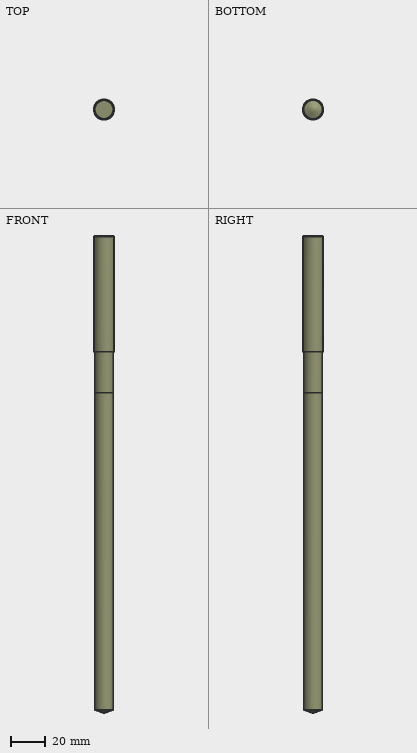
import cadquery as cq
import math

overall_length = 280.0
shank_diameter = 12.0
shank_length = 68.0
shank_chamfer = 0.6
neck_length = 24.0
drill_diameter = 11.1
point_angle = 140.0

drill_radius = drill_diameter / 2
point_height = drill_radius / math.tan(math.radians(point_angle / 2))
shank_bottom = overall_length - shank_length
neck_bottom = shank_bottom - neck_length


def make_cutting_part():
    """Cylindrical cutting length with a conical point at the bottom."""
    half_profile = (
        cq.Workplane("XZ")
        .moveTo(0, 0)
        .lineTo(-drill_radius, point_height)
        .lineTo(-drill_radius, neck_bottom)
        .lineTo(0, neck_bottom)
        .close()
    )
    return half_profile.revolve(360, (0, 0, 0), (0, 1, 0))


def make_shank():
    """Clamping shank, chamfered on top, with the slimmer neck that stands on the cutting part."""
    shank_radius = shank_diameter / 2
    half_profile = (
        cq.Workplane("YZ")
        .moveTo(0, neck_bottom)
        .lineTo(-drill_radius, neck_bottom)
        .lineTo(-drill_radius, shank_bottom)
        .lineTo(-shank_radius, shank_bottom)
        .lineTo(-shank_radius, overall_length - shank_chamfer)
        .lineTo(-shank_radius + shank_chamfer, overall_length)
        .lineTo(0, overall_length)
        .close()
    )
    return half_profile.revolve(360, (0, 0, 0), (0, 1, 0))


cutting_part = make_cutting_part()
shank = make_shank()

result = cq.Compound.makeCompound([cutting_part.val(), shank.val()])